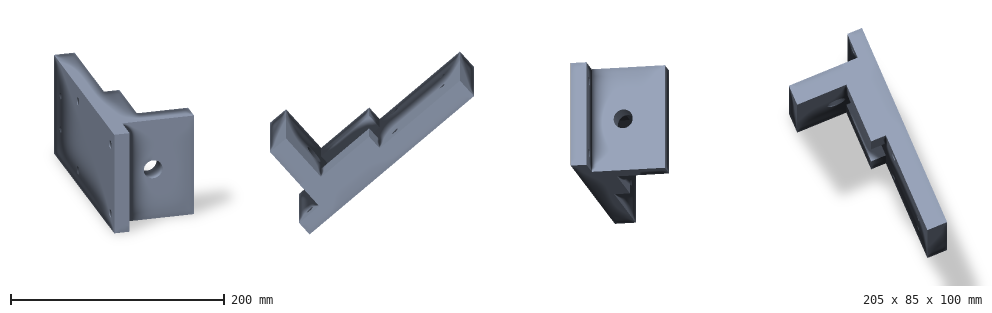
import cadquery as cq

length = 205.0
height = 100.0
plate_thickness = 20.0
mid_height = height / 2

wall_start = 160.0
wall_end = 180.0
wall_top = 85.0
tail_thickness = 15.0

step_start = 100.0
step_top = 35.0
channel_width = 43.0

bore_diameter = 18.2
bore_y = 45.0

small_hole_diameter = 6.2
small_hole_x = 22.3
small_hole_pitch = 34.0
large_hole_diameter = 8.0
large_hole_columns = (81.5, 192.0)
large_hole_pitch = 70.0


def make_body():
    """Extrude the stepped outline over the full height."""
    outline = [
        (0, 0),
        (length, 0),
        (length, tail_thickness),
        (wall_end, tail_thickness),
        (wall_end, wall_top),
        (wall_start, wall_top),
        (wall_start, step_top),
        (step_start, step_top),
        (step_start, plate_thickness),
        (0, plate_thickness),
    ]
    return cq.Workplane("XY").polyline(outline).close().extrude(height)


def make_channel():
    """Central gap between the step blocks, down to the plate face."""
    return cq.Workplane("XY").box(
        wall_start - step_start,
        step_top - plate_thickness,
        channel_width,
        centered=(False, False, True),
    ).translate((step_start, plate_thickness, mid_height))


def make_bore():
    """Cylinder along X through the wall."""
    return (
        cq.Workplane("YZ", origin=(wall_start, bore_y, mid_height))
        .circle(bore_diameter / 2)
        .extrude(wall_end - wall_start)
    )


def make_hole_pair(x, pitch, diameter):
    """Two cylinders along Y, spaced evenly about mid-height."""
    return (
        cq.Workplane("XZ", origin=(x, 0, mid_height))
        .pushPoints([(0, -pitch / 2), (0, pitch / 2)])
        .circle(diameter / 2)
        .extrude(-plate_thickness)
    )


result = make_body().cut(make_channel()).cut(make_bore())
result = result.cut(make_hole_pair(small_hole_x, small_hole_pitch, small_hole_diameter))
for column_x in large_hole_columns:
    result = result.cut(make_hole_pair(column_x, large_hole_pitch, large_hole_diameter))